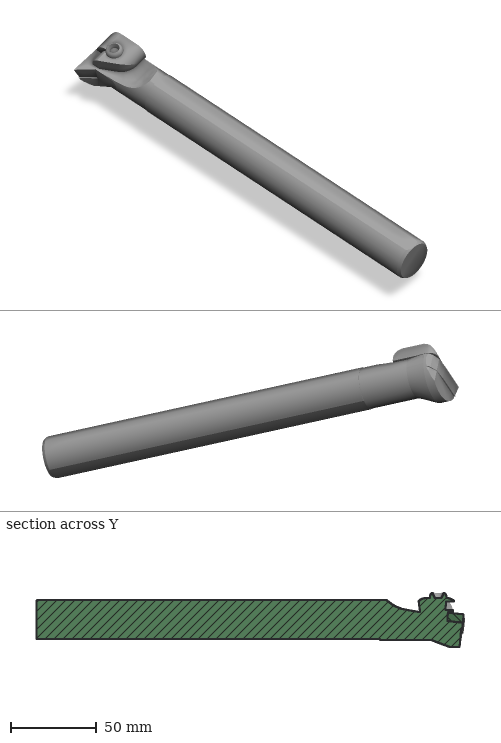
import cadquery as cq
import math

overall_length = 250.01

shank_diameter = 25.0
shank_flat_height = 11.5
shank_start = 50.0
shank_chamfer_length = 2.0
shank_chamfer_depth = 1.0
neck_diameter = 24.4

head_radius = 16.1
head_offset = -2.75
head_length = 8.8
head_taper_end = 20.0

roll_angle = 11.0
deck_height = 4.75
seat_floor = -5.0
scoop_poles = [(10.0, 0.0), (30.0, 0.0), (39.0, 0.0), (48.0, 9.0)]

far = 60.0

tip_y = -19.27
insert_rake = 5.7
insert_lead = 3.0
insert_length = 18.6
insert_width = 9.525
insert_corner_angle = 55.0
insert_thickness = 4.76

relief_wall = -11.5
flank_clearance = 7.5
lower_relief_shift = 1.6
relief_end = 22.5
relief_exit_radius = 16.0

front_points = [(1.9, 6.9), (4.2, 11.0), (8.0, 14.3)]
lower_edge_length = 25.5
front_setback = 0.7

clamp_height = 8.3
clamp_back = 29.0
clamp_back_radius = 6.0
clamp_side = 12.7
clamp_corner_radius = 11.0
nose_bulge = 0.64
nose_tip = 2.2
nose_top = 10.0
nose_corner_radius = 5.0
nose_edge = -0.9
finger_tip = 7.0
finger_top = 12.0
finger_side = -1.8
finger_end = -10.0
clamp_front_angle = 25.0
nose_gap = 0.2

screw_u = 15.9
screw_v = 1.1
screw_head_diameter = 10.4
screw_rim_diameter = 6.7
screw_head_height = 3.1
socket_diameter = 3.9
socket_depth = 4.5

roll = math.radians(roll_angle)
lead = math.radians(insert_lead)
corner_angle = math.radians(insert_corner_angle)
tip_v = tip_y * math.cos(roll)
tip_w = -tip_y * math.sin(roll)


def slab(bottom, top):
    """Layer wider than the part between two heights."""
    layer = cq.Workplane("XY", origin=(0, 0, bottom))
    return layer.rect(4 * overall_length, 4 * far).extrude(top - bottom)


def plan_box(u_start, u_end, v_start, v_end):
    """Tall block over a rectangle of the plan."""
    box = cq.Workplane("XY").box(u_end - u_start, v_end - v_start, far, centered=False)
    return box.translate((u_start, v_start, 0))


def rolled(shape):
    """Move a shape from the tilted frame into place."""
    return shape.rotate((0, 0, 0), (1, 0, 0), roll_angle)


def raked(shape):
    """Raise a shape's rear end about the line through the insert tip."""
    return shape.rotate((0, 0, tip_w), (0, 1, tip_w), -insert_rake)


def along_side(distance):
    """Point on the insert's short side, measured from the tip."""
    return (distance * math.sin(corner_angle), tip_v + distance * math.cos(corner_angle))


relief_side = (relief_wall - tip_v) / math.cos(corner_angle)
relief_corner = along_side(relief_side)


def along_edge(distance):
    """Point on the insert's cutting edge, measured from the tip."""
    return (distance * math.sin(lead), tip_v + distance * math.cos(lead))


edge_u, edge_v = along_edge(insert_length)


def make_insert():
    side = along_side(insert_width / math.sin(corner_angle))
    outline = [(0, tip_v), side, (side[0] + edge_u, side[1] + edge_v - tip_v), (edge_u, edge_v)]
    base = cq.Workplane("XY", origin=(0, 0, tip_w - insert_thickness))
    return rolled(raked(base.polyline(outline).close().extrude(insert_thickness)))


def make_insert_face_cut():
    """Space above the insert's top face, which runs back up to the deck."""
    above_face = raked(slab(tip_w, tip_w + far))
    return rolled(above_face.intersect(plan_box(-far, finger_top, -far, far)))


def make_bar():
    """Shank with flats above and below, neck flush with the top flat, and flared head."""
    shank = cq.Workplane("YZ", origin=(shank_start, 0, 0)).circle(shank_diameter / 2)
    shank = shank.extrude(overall_length - shank_start)
    shank = shank.faces(">X").chamfer(shank_chamfer_length, shank_chamfer_depth)
    shank = shank.intersect(slab(-shank_flat_height, shank_flat_height))

    neck = cq.Workplane("YZ", origin=(head_taper_end, 0, 0)).circle(neck_diameter / 2)
    neck = neck.extrude(shank_start - head_taper_end).rotate((0, 0, 0), (1, 0, 0), 90)
    neck = neck.cut(slab(shank_flat_height, far))

    head = cq.Workplane("YZ").center(head_offset, 0).circle(head_radius).extrude(head_length)
    taper = (
        cq.Workplane("YZ", origin=(head_length, head_offset, 0))
        .circle(head_radius)
        .workplane(offset=head_taper_end - head_length)
        .center(-head_offset, 0)
        .circle(neck_diameter / 2)
        .loft(ruled=True)
    )
    return shank.union(neck).union(taper).union(head)


def make_scoop():
    """Space above the deck, which curves up behind the clamp and runs out of the neck."""
    curve = [(u, deck_height + rise) for u, rise in scoop_poles]
    profile = (
        cq.Workplane("XZ", origin=(0, far / 2, 0))
        .moveTo(-far, deck_height)
        .lineTo(*curve[0])
        .bezier(curve[1:], includeCurrent=True)
        .lineTo(curve[-1][0], far)
        .lineTo(-far, far)
        .close()
    )
    return rolled(profile.extrude(far))


def relief_outline(plane):
    """Space beside the insert's short side and the relief wall behind it."""
    ahead = along_side(-far / 2)
    return (
        plane.moveTo(*ahead)
        .lineTo(*relief_corner)
        .lineTo(relief_end, relief_wall)
        .radiusArc((relief_end + relief_exit_radius, relief_wall - relief_exit_radius), relief_exit_radius)
        .lineTo(relief_end, ahead[1])
        .close()
    )


def make_relief():
    """Clears the head beside the insert, down to the relief floor."""
    return rolled(relief_outline(cq.Workplane("XY", origin=(0, 0, seat_floor))).extrude(far))


def make_lower_relief():
    """Trims the head upright below the relief floor."""
    tool = relief_outline(cq.Workplane("XY", origin=(0, lower_relief_shift, -far))).extrude(2 * far)
    return tool.intersect(rolled(slab(seat_floor - far, seat_floor)))


def make_flank_clearance():
    """Wedge that leans the insert's short side and the seat below it inwards under the edge."""
    block = cq.Workplane("XY").box(far + relief_side, far, tip_w - seat_floor + far, centered=False)
    block = block.translate((-far, -far, seat_floor - tip_w)).rotate((0, 0, 0), (1, 0, 0), flank_clearance)
    block = block.rotate((0, 0, 0), (0, 0, 1), 90 - insert_corner_angle).translate((0, tip_v, tip_w))
    return rolled(block.intersect(slab(seat_floor, seat_floor + far)))


def make_front_cut(points, setback, bottom, top):
    """Space ahead of the front faces, which lean back with the rake."""
    edge = [(u + setback, v) for u, v in [along_edge(-far)] + points]
    outline = edge + [(edge[-1][0], far), (-far, far), (-far, tip_v - far)]
    face = cq.Workplane("XY", origin=(0, 0, tip_w)).polyline(outline).close()
    tool = raked(face.extrude(far, both=True))
    return rolled(tool.intersect(slab(bottom, top)))


def nose_profile(tip, top):
    """Clamp side profile that curves down from the top face to its pressing edge."""
    height = deck_height + clamp_height
    base = deck_height + nose_gap
    middle = (top - (top - tip) * nose_bulge, base + (height - base) * nose_bulge)
    return (
        cq.Workplane("XZ", origin=(0, far / 2, 0))
        .moveTo(tip, base)
        .threePointArc(middle, (top, height))
        .lineTo(clamp_back, height)
        .lineTo(clamp_back, deck_height)
        .lineTo(finger_top, deck_height)
        .lineTo(finger_top, base)
        .close()
        .extrude(far)
        .edges("|Y").edges(">X").edges(">Z")
        .fillet(clamp_back_radius)
    )


def make_clamp():
    """Clamp with a broad nose and a narrower finger that press on the insert."""
    slope = math.tan(math.radians(clamp_front_angle))
    plan = (
        cq.Workplane("XY")
        .moveTo(nose_tip, clamp_side)
        .lineTo(nose_tip, finger_end)
        .lineTo(finger_top, finger_end)
        .lineTo(clamp_back, finger_end + (clamp_back - finger_top) * slope)
        .lineTo(clamp_back, clamp_side)
        .close()
        .extrude(far)
        .edges("|Z").edges(">X").edges("<Y")
        .fillet(clamp_corner_radius)
        .edges("|Z").edges("<X").edges(">Y")
        .fillet(nose_corner_radius)
    )
    nose = nose_profile(nose_tip, nose_top).cut(plan_box(-far, finger_top, -far, nose_edge))
    finger = nose_profile(finger_tip, finger_top).cut(plan_box(-far, finger_top, finger_side, far))
    return rolled(nose.union(finger).intersect(plan))


def make_screw_head():
    """Domed screw head with a tapered socket."""
    base = deck_height + clamp_height
    top = base + screw_head_height
    crown = (0.45 * screw_head_diameter, base + 0.65 * screw_head_height)
    head = (
        cq.Workplane("XZ")
        .moveTo(0, deck_height)
        .lineTo(screw_head_diameter / 2, deck_height)
        .lineTo(screw_head_diameter / 2, base)
        .threePointArc(crown, (screw_rim_diameter / 2, top))
        .lineTo(socket_diameter / 2, top - socket_depth)
        .lineTo(0, top - socket_depth)
        .close()
        .revolve(360, (0, 0, 0), (0, 1, 0))
        .translate((screw_u, screw_v, 0))
    )
    return rolled(head)


insert = make_insert().cut(make_flank_clearance())

holder = make_bar()
for cutter in [
    make_scoop(),
    make_relief(),
    make_lower_relief(),
    make_flank_clearance(),
    make_front_cut([along_edge(insert_length)] + front_points, 0, seat_floor, far),
    make_front_cut([along_edge(lower_edge_length)] + front_points[1:], front_setback, -far, seat_floor),
    make_insert_face_cut(),
]:
    holder = holder.cut(cutter)
holder = holder.union(make_clamp()).union(make_screw_head()).cut(insert)

result = cq.Compound.makeCompound([*holder.solids().vals(), *insert.solids().vals()])